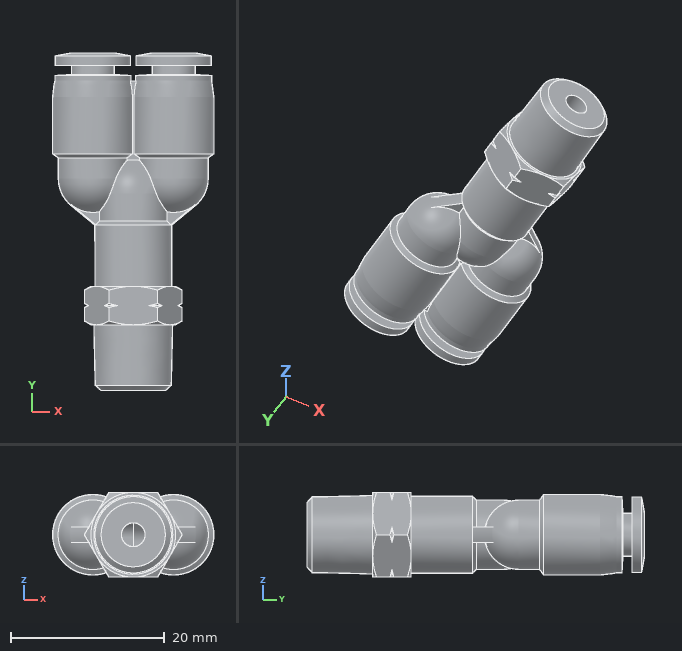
import cadquery as cq
import math


thread_chamfer_end = 0.7
hex_start = 8.55
hex_width = 5.0
hex_end = hex_start + hex_width
body_end = 21.5
neck_start = 22.05
neck_dome_y = 25.6

thread_tip_radius = 4.15
thread_small_radius = 4.95
thread_large_radius = 5.15
body_radius = 5.0
neck_radius = 4.5

hex_flats = 11.0
hex_corner_radius = hex_flats / 2 / math.cos(math.radians(30))
hex_bevel_angle = 30.0
notch_depth = 0.5
notch_half_width = 0.25

elbow_y = 27.55
sleeve_start = 30.25
sleeve_chamfer_end = 30.77
sleeve_straight_end = 38.15
sleeve_taper_end = 40.25
ring_end = 40.95
stem_start = 41.1
collar_start = 42.25
collar_end = 43.5
total_length = 43.9

total_width = 21.0
sleeve_radius = total_width / 4
branch_offset = sleeve_radius
ring_radius = 4.95
taper_bulge = 0.05
stem_radius = 2.8
collar_radius = 4.9

web_thickness = 2.0
bore_radius = 1.55


def revolve_about_y(outline):
    """Turn a closed half profile, drawn as (radius, Y), about the Y axis."""
    return outline.close().revolve(360, (0, 0, 0), (0, 1, 0))


def rod(start, end, radius):
    """Round rod between two points of the XY plane."""
    axis = cq.Vector(end[0] - start[0], end[1] - start[1], 0)
    return cq.Workplane(cq.Solid.makeCylinder(radius, axis.Length, cq.Vector(*start, 0), axis))


def make_stud():
    """Tapered thread, round body and domed neck."""
    outline = (
        cq.Workplane("XY")
        .lineTo(thread_tip_radius, 0)
        .lineTo(thread_small_radius, thread_chamfer_end)
        .lineTo(thread_large_radius, hex_start)
        .lineTo(body_radius, hex_start)
        .lineTo(body_radius, body_end)
        .lineTo(neck_radius, neck_start)
        .lineTo(neck_radius, neck_dome_y)
        .radiusArc((0, neck_dome_y + neck_radius), -neck_radius)
    )
    return revolve_about_y(outline)


def make_hexagon():
    """Hexagon with bevelled corners and a V notch around the middle of its corners."""
    prism = (
        cq.Workplane("XZ", origin=(0, hex_end, 0))
        .polygon(6, 2 * hex_corner_radius)
        .extrude(hex_width)
    )
    bevel_radius = hex_flats / 2
    bevel_length = (hex_corner_radius - bevel_radius) * math.tan(math.radians(hex_bevel_angle))
    hex_middle = hex_start + hex_width / 2
    envelope = revolve_about_y(
        cq.Workplane("XY")
        .moveTo(0, hex_start)
        .lineTo(bevel_radius, hex_start)
        .lineTo(hex_corner_radius, hex_start + bevel_length)
        .lineTo(hex_corner_radius, hex_middle - notch_half_width)
        .lineTo(hex_corner_radius - notch_depth, hex_middle)
        .lineTo(hex_corner_radius, hex_middle + notch_half_width)
        .lineTo(hex_corner_radius, hex_end - bevel_length)
        .lineTo(bevel_radius, hex_end)
        .lineTo(0, hex_end)
    )
    return prism.intersect(envelope)


def make_branch(side):
    """Domed elbow, sleeve, release stem and collar of the branch on one side (+1 or -1)."""
    taper_middle = (
        (sleeve_radius + ring_radius) / 2 + taper_bulge,
        (sleeve_straight_end + sleeve_taper_end) / 2,
    )
    outline = (
        cq.Workplane("XY")
        .moveTo(0, elbow_y - neck_radius)
        .radiusArc((neck_radius, elbow_y), -neck_radius)
        .lineTo(neck_radius, sleeve_start)
        .lineTo(sleeve_radius, sleeve_chamfer_end)
        .lineTo(sleeve_radius, sleeve_straight_end)
        .threePointArc(taper_middle, (ring_radius, sleeve_taper_end))
        .lineTo(ring_radius, ring_end)
        .lineTo(stem_radius, stem_start)
        .lineTo(stem_radius, collar_start)
        .lineTo(collar_radius, collar_start)
        .lineTo(collar_radius, collar_end)
        .lineTo(stem_radius, total_length)
        .lineTo(0, total_length)
    )
    return revolve_about_y(outline).translate((side * branch_offset, 0, 0))


def make_middle_web():
    """Flat web that ties the neck and the two sleeves together."""
    return (
        cq.Workplane("XY")
        .center(0, (neck_dome_y + sleeve_taper_end) / 2)
        .box(2 * branch_offset, sleeve_taper_end - neck_dome_y, web_thickness)
    )


def make_side_web(side):
    """Slice of an inclined rod, tangent to the elbow, that meets the edge of the body end."""
    to_elbow_x = branch_offset - body_radius
    to_elbow_y = elbow_y - body_end
    elbow_distance = math.hypot(to_elbow_x, to_elbow_y)
    slope = math.atan2(to_elbow_y, to_elbow_x) - math.asin(neck_radius / elbow_distance)
    foot = (0, elbow_y - branch_offset * math.tan(slope))
    inclined_rod = rod(foot, (branch_offset, elbow_y), neck_radius)
    slab_height = sleeve_start - body_end
    slab = (
        cq.Workplane("XY")
        .center(0, body_end + slab_height / 2)
        .box(total_width, slab_height, web_thickness)
    )
    web = inclined_rod.intersect(slab)
    return web if side > 0 else web.mirror("YZ")


def make_passage():
    """Bore that enters through the thread, forks at the body end and leaves through both branches."""
    fork = (0, body_end)
    passage = rod((0, 0), fork, bore_radius)
    for side in (-1, 1):
        elbow = (side * branch_offset, elbow_y)
        passage = passage.union(rod(fork, elbow, bore_radius))
        passage = passage.union(cq.Workplane("XY").sphere(bore_radius).translate((*elbow, 0)))
        passage = passage.union(rod(elbow, (elbow[0], total_length), bore_radius))
    return passage


result = make_stud().union(make_hexagon()).union(make_middle_web())
for branch_side in (-1, 1):
    result = result.union(make_branch(branch_side)).union(make_side_web(branch_side))
result = result.cut(make_passage())